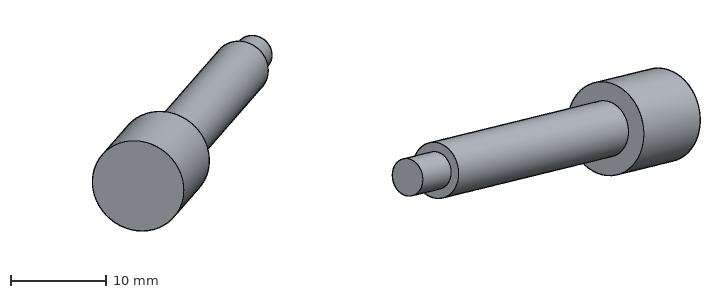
import cadquery as cq

total_length = 45.0
head_diameter = 10.0
shank_diameter = 6.0
tip_diameter = 4.0
tip_length = 5.0

head_length = head_diameter
shank_length = total_length - head_length - tip_length


def cylinder_along_y(diameter, start, length):
    """Solid cylinder on the Y axis, running from start towards +Y."""
    plane = cq.Plane(origin=(0, start, 0), xDir=(1, 0, 0), normal=(0, 1, 0))
    return cq.Workplane(plane).circle(diameter / 2).extrude(length)


head = cylinder_along_y(head_diameter, 0, head_length)
shank = cylinder_along_y(shank_diameter, head_length, shank_length)
tip = cylinder_along_y(tip_diameter, head_length + shank_length, tip_length)

result = head.union(shank).union(tip)